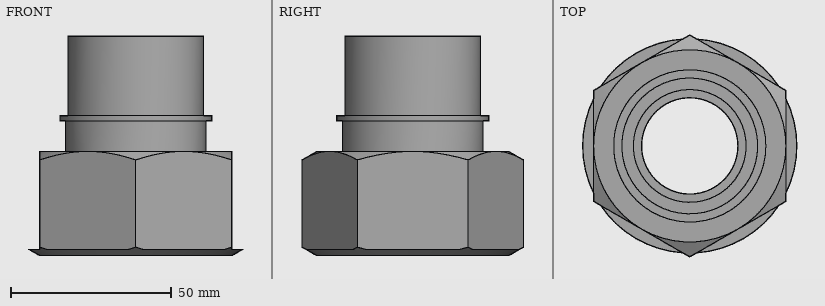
import cadquery as cq
import math

hex_corner_diameter = 69.3
hex_corner_radius = hex_corner_diameter / 2
hex_flat_radius = hex_corner_radius * math.cos(math.radians(30))
nut_height = 32.55
chamfer_slope = math.tan(math.radians(30))
chamfer_height = (hex_corner_radius - hex_flat_radius) * chamfer_slope

rim_diameter = 66.9
rim_radius = rim_diameter / 2
rim_height = (rim_radius - hex_flat_radius) * chamfer_slope

neck_diameter = 44.0
collar_diameter = 47.5
collar_bottom = 42.05
collar_thickness = 1.65
collar_top = collar_bottom + collar_thickness
tube_diameter = 42.4
total_height = 68.5

socket_diameter = 35.2
socket_bottom = collar_top
through_diameter = 30.0


def cylinder(diameter, bottom, top):
    """Upright cylinder on the Z axis between two heights."""
    return cq.Workplane("XY").workplane(offset=bottom).circle(diameter / 2).extrude(top - bottom)


def rimmed_nut():
    """Hexagonal prism with a rim disc at its foot, both turned off conically at the ends."""
    prism = (
        cq.Workplane("XY")
        .polygon(6, hex_corner_diameter)
        .extrude(nut_height)
        .rotate((0, 0, 0), (0, 0, 1), 90)
    )
    rim_disc = cylinder(rim_diameter, 0, rim_height)
    turned_envelope = (
        cq.Workplane("XZ")
        .moveTo(0, 0)
        .lineTo(hex_flat_radius, 0)
        .lineTo(hex_corner_radius, chamfer_height)
        .lineTo(hex_corner_radius, nut_height - chamfer_height)
        .lineTo(hex_flat_radius, nut_height)
        .lineTo(0, nut_height)
        .close()
        .revolve(360, (0, 0, 0), (0, 1, 0))
    )
    return prism.union(rim_disc).intersect(turned_envelope)


body = rimmed_nut()
body = body.union(cylinder(neck_diameter, nut_height, collar_bottom))
body = body.union(cylinder(collar_diameter, collar_bottom, collar_top))
body = body.union(cylinder(tube_diameter, collar_top, total_height))

body = body.cut(cylinder(through_diameter, 0, total_height))
result = body.cut(cylinder(socket_diameter, socket_bottom, total_height))